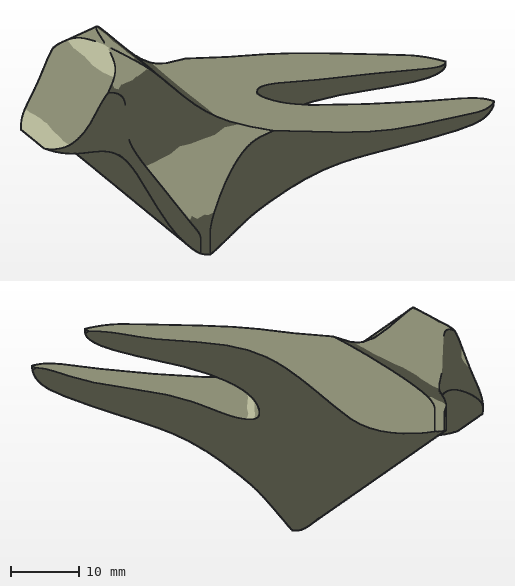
import cadquery as cq

length = 79.8
width = 31.7
height = 37.6
tail_y = length / 2
beak_y = -length / 2
crown_z = height / 2
tail_z = -height / 2
wing_x = width / 2
prism_reach = 47.9

tail_tip_top = (tail_y, -18.35)
tail_tip_bottom = (39.5, tail_z)
beak_tip = (beak_y, 7.8)
crown = (-26.4, crown_z)
back = [(28.3, -14.0), (12.5, -7.8), (-4.8, -0.15), (-10.6, 2.95), (-16.35, 8.3), (-22.1, 15.65)]
forehead = [(-29.3, 17.7), (-31.0, 16.6), (-33.7, 12.6), (-35.6, 10.1)]
breast = [(-33.7, 6.55), (-30.8, 5.4), (-28.7, 3.6), (-26.4, -0.95), (-25.0, -5.3), (-23.55, -9.0), (-21.4, -12.0)]
belly = [(-16.35, -14.1), (-10.6, -14.6), (-4.8, -13.4), (0.95, -12.05), (6.7, -11.5), (14.0, -12.4)]
tail_underside = [(24.0, -15.3), (34.15, -18.2)]

beak_flat = 2.8
wing_end_y = (-21.1, -19.3)
beak_side = [(4.2, -38.8), (5.3, -37.5), (6.0, -35.8), (7.0, -29.45), (7.8, -27.4), (9.2, -25.9)]
wing_front = [(11.3, -24.6), (13.7, -23.15), (15.3, -21.95)]
wing_rear = [(13.9, -15.9), (12.0, -11.7), (10.9, -8.0), (10.8, -4.3)]
tail_outer = [(11.1, 2.9), (11.65, 13.0), (10.85, 21.6), (9.3, 30.3), (7.75, 37.2)]
prong_tip = (5.9, tail_y)
prong_inner = [(5.0, 38.8), (4.6, 37.5), (4.4, 33.5), (4.15, 23.1), (3.5, 11.6), (2.8, 4.95), (1.9, 2.9)]
fork_root = (0.0, 1.35)

crown_middle = (0.0, crown_z)
wing_top_z = -9.2
head_corner = [(3.2, 18.6), (5.0, 18.1), (6.3, 17.15), (7.1, 15.3)]
head_side = [(7.35, 12.8), (7.4, 10.0), (7.5, 7.2)]
shoulder = [(7.9, 4.8), (9.1, 1.9), (11.5, -1.4), (14.6, -5.75), (15.5, -7.4)]


def mirror(points):
    """Reflect points across the centre plane, reversing their order."""
    return [(-x, v) for x, v in reversed(points)]


def side_prism():
    profile = (
        cq.Workplane("YZ", origin=(-prism_reach, 0, 0))
        .moveTo(*tail_tip_top)
        .spline(back + [crown] + forehead + [beak_tip], includeCurrent=True)
        .spline(breast + belly + tail_underside + [tail_tip_bottom], includeCurrent=True)
        .close()
    )
    return profile.extrude(2 * prism_reach)


def plan_prism():
    front_wing = [(beak_flat, beak_y)] + beak_side + wing_front + [(wing_x, wing_end_y[0])]
    rear_wing = [(wing_x, wing_end_y[1])] + wing_rear + tail_outer + [prong_tip]
    half_fork = [prong_tip] + prong_inner + [fork_root]
    fork = half_fork + mirror(half_fork)[1:]
    outline = (
        cq.Workplane("XY", origin=(0, 0, -prism_reach))
        .moveTo(-beak_flat, beak_y)
        .lineTo(beak_flat, beak_y)
        .spline(front_wing)
        .lineTo(*rear_wing[0])
        .spline(rear_wing)
        .spline(fork)
        .spline(mirror(rear_wing))
        .lineTo(-wing_x, wing_end_y[0])
        .spline(mirror(front_wing))
        .close()
    )
    return outline.extrude(2 * prism_reach)


def front_prism():
    half_flank = [crown_middle] + head_corner + head_side + shoulder + [(wing_x, wing_top_z)]
    flanks = mirror(half_flank) + half_flank[1:]
    outline = (
        cq.Workplane("XZ", origin=(0, prism_reach, 0))
        .moveTo(-wing_x, tail_z)
        .lineTo(-wing_x, wing_top_z)
        .spline(flanks)
        .lineTo(wing_x, tail_z)
        .close()
    )
    return outline.extrude(2 * prism_reach)


result = side_prism().intersect(plan_prism()).intersect(front_prism())